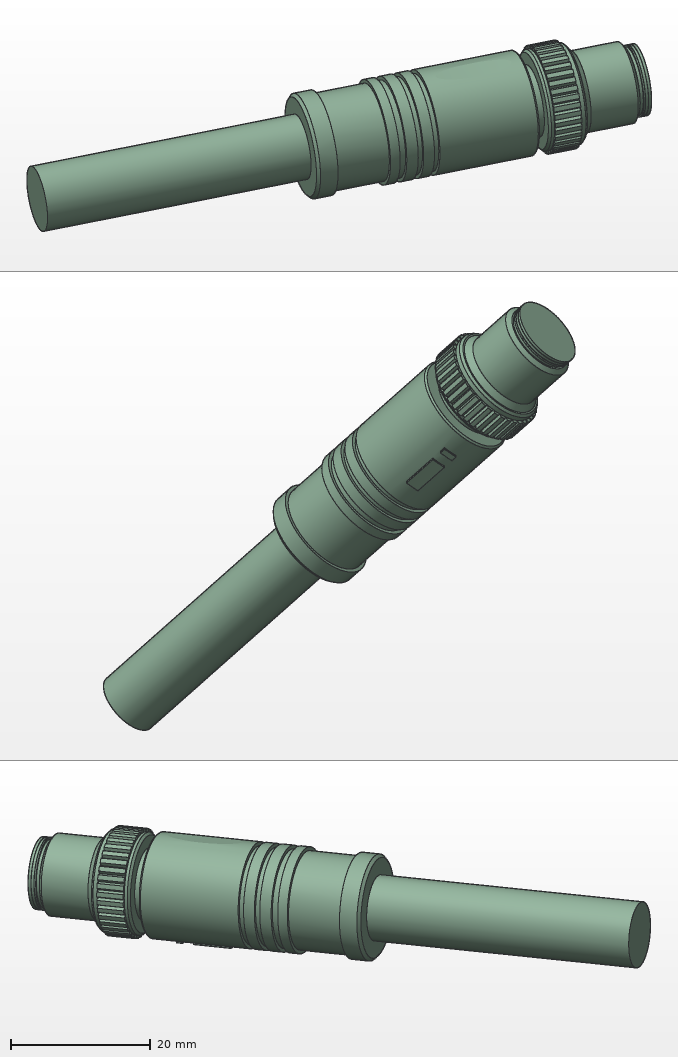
import cadquery as cq
import math

TOTAL_LENGTH = 91.3
TIP_Y = TOTAL_LENGTH / 2
CABLE_END_Y = -TOTAL_LENGTH / 2
CUT_MARGIN = 0.9
CABLE_DIAMETER = 9.6
CABLE_RADIUS = CABLE_DIAMETER / 2

TIP_RADIUS = 5.3
TIP_GROOVE_START = TIP_Y - 0.5
TIP_GROOVE_WIDTH = 0.5
TIP_GROOVE_DEPTH = 0.1
TIP_LIP_LENGTH = 1.2
THROAT_RADIUS = 5.0
THROAT_LENGTH = 0.55

BARREL_RADIUS = 6.0
BARREL_START = TIP_Y - TIP_LIP_LENGTH - THROAT_LENGTH
BARREL_CHAMFER_LENGTH = 0.55
BARREL_END = TIP_Y - 9.4

FLARE_RADIUS = 6.85
COLLAR_START = BARREL_END - 0.9
COLLAR_RADIUS = 7.5
COLLAR_CHAMFER = 0.4
COLLAR_END = TIP_Y - 16.25
KNURL_DIAMETER = 16.0
KNURL_RADIUS = KNURL_DIAMETER / 2
KNURL_START = TIP_Y - 11.4
KNURL_LENGTH = 4.0
KNURL_COUNT = 40
KNURL_FIRST_ANGLE = -2.5
KNURL_GROOVE_WIDTH = 0.55
KNURL_GROOVE_DEPTH = KNURL_RADIUS - COLLAR_RADIUS

NECK_RADIUS = 5.3

SLEEVE_RADIUS = 7.8
SLEEVE_START = TIP_Y - 17.7
SLEEVE_END = TIP_Y - 51.4
SLEEVE_FRONT_CHAMFER = 0.3
SLEEVE_REAR_CHAMFER = 0.5
WAIST_RADIUS = 7.2
WAIST_START = TIP_Y - 40.4
WAIST_END = TIP_Y - 48.3
GROOVE_RADIUS = WAIST_RADIUS
GRIP_GROOVES = [
    (TIP_Y - 32.9, 0.8),
    (TIP_Y - 35.3, 0.8),
    (TIP_Y - 37.9, 1.0),
]

RECESS_CENTER_Y = TIP_Y - 25.2
RECESS_LENGTH = 11.4
RECESS_WIDTH = 3.3

MARK_BOTTOM = 8.0
MARK_WIDTH = 2.2
MARKS = [
    (TIP_Y - 21.2, 0.9),
    (TIP_Y - 23.7, 5.75),
]


def ring_groove(start_y, width, outer_radius, floor_radius):
    """Ring that cuts a square groove round the axis, running back from start_y."""
    plane = cq.Workplane("XZ", origin=(0, start_y, 0))
    return plane.circle(outer_radius + CUT_MARGIN).circle(floor_radius).extrude(width)


def turned_body():
    """Cable, sleeve, neck, nut and plug as one revolved profile of (radius, y)."""
    profile = [
        (0, TIP_Y),
        (TIP_RADIUS, TIP_Y),
        (TIP_RADIUS, TIP_Y - TIP_LIP_LENGTH),
        (THROAT_RADIUS, TIP_Y - TIP_LIP_LENGTH),
        (THROAT_RADIUS, BARREL_START),
        (TIP_RADIUS, BARREL_START),
        (BARREL_RADIUS, BARREL_START - BARREL_CHAMFER_LENGTH),
        (BARREL_RADIUS, BARREL_END),
        (FLARE_RADIUS, COLLAR_START),
        (COLLAR_RADIUS - COLLAR_CHAMFER, COLLAR_START),
        (COLLAR_RADIUS, COLLAR_START - COLLAR_CHAMFER),
        (COLLAR_RADIUS, KNURL_START),
        (KNURL_RADIUS, KNURL_START),
        (KNURL_RADIUS, KNURL_START - KNURL_LENGTH),
        (COLLAR_RADIUS, KNURL_START - KNURL_LENGTH),
        (COLLAR_RADIUS, COLLAR_END + COLLAR_CHAMFER),
        (COLLAR_RADIUS - COLLAR_CHAMFER, COLLAR_END),
        (NECK_RADIUS, COLLAR_END),
        (NECK_RADIUS, SLEEVE_START),
        (SLEEVE_RADIUS - SLEEVE_FRONT_CHAMFER, SLEEVE_START),
        (SLEEVE_RADIUS, SLEEVE_START - SLEEVE_FRONT_CHAMFER),
        (SLEEVE_RADIUS, WAIST_START),
        (WAIST_RADIUS, WAIST_START),
        (WAIST_RADIUS, WAIST_END),
        (SLEEVE_RADIUS, WAIST_END),
        (SLEEVE_RADIUS, SLEEVE_END + SLEEVE_REAR_CHAMFER),
        (SLEEVE_RADIUS - SLEEVE_REAR_CHAMFER, SLEEVE_END),
        (CABLE_RADIUS, SLEEVE_END),
        (CABLE_RADIUS, CABLE_END_Y),
        (0, CABLE_END_Y),
    ]
    body = cq.Workplane("XY").polyline(profile).close().revolve(360, (0, 0, 0), (0, 1, 0))
    tip_floor = TIP_RADIUS - TIP_GROOVE_DEPTH
    body = body.cut(ring_groove(TIP_GROOVE_START, TIP_GROOVE_WIDTH, TIP_RADIUS, tip_floor))
    for start_y, width in GRIP_GROOVES:
        body = body.cut(ring_groove(start_y, width, SLEEVE_RADIUS, GROOVE_RADIUS))
    return body


def knurl_grooves():
    """Straight V slots along Y, evenly spaced round the knurled band."""
    floor_radius = KNURL_RADIUS - KNURL_GROOVE_DEPTH
    mouth_radius = KNURL_RADIUS + KNURL_GROOVE_DEPTH
    outline = [(-KNURL_GROOVE_WIDTH, mouth_radius), (KNURL_GROOVE_WIDTH, mouth_radius), (0, floor_radius)]
    slots = cq.Workplane("XY")
    plane = cq.Workplane("XZ", origin=(0, KNURL_START, 0))
    slot = plane.polyline(outline).close().extrude(KNURL_LENGTH)
    for index in range(KNURL_COUNT):
        angle = KNURL_FIRST_ANGLE + index * 360 / KNURL_COUNT
        slots.add(slot.rotate((0, 0, 0), (0, 1, 0), angle))
    return slots.combine()


def thumb_recess():
    """Large cylinder across the sleeve; dipping into its round top it leaves an oval hollow."""
    half_width = RECESS_WIDTH / 2
    half_length = RECESS_LENGTH / 2
    depth = SLEEVE_RADIUS - math.sqrt(SLEEVE_RADIUS**2 - half_width**2)
    cutter_radius = (half_length**2 + depth**2) / (2 * depth)
    cutter_z = SLEEVE_RADIUS - depth + cutter_radius
    plane = cq.Workplane("YZ").center(RECESS_CENTER_Y, cutter_z)
    return plane.circle(cutter_radius).extrude(SLEEVE_RADIUS, both=True)


def raised_mark(start_y, length):
    """Flat-bottomed pad standing out of the underside of the sleeve."""
    height = MARK_BOTTOM - WAIST_RADIUS
    pad = cq.Workplane("XY").box(MARK_WIDTH, length, height)
    return pad.translate((0, start_y - length / 2, -MARK_BOTTOM + height / 2))


result = turned_body().cut(knurl_grooves()).cut(thumb_recess())
for mark_start, mark_length in MARKS:
    result = result.union(raised_mark(mark_start, mark_length))